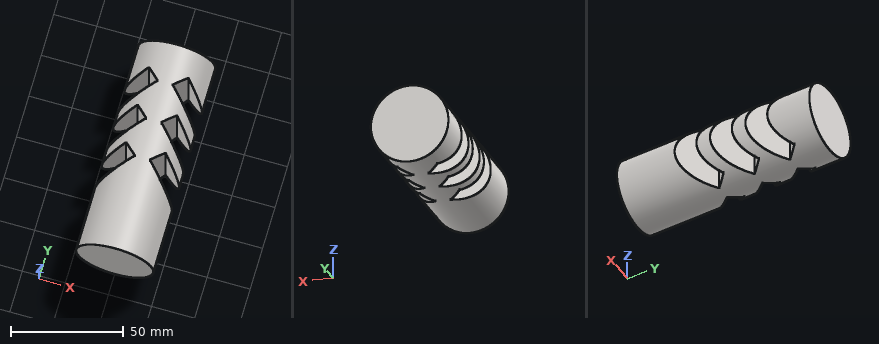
import cadquery as cq
import math

bar_length = 100.0
bar_radius = 18.0

slot_width = 8.0
rib_width = 5.0
slot_count = 3
slot_angle = math.radians(45)
inner_corner_x = 3.5
first_corner_depth = 18.7
slot_pitch = (slot_width + rib_width) / math.sin(slot_angle)
cut_length = 2 * bar_radius


def slot(corner_y, side):
    """Slot running outward and toward -Y; side is +1 for +X, -1 for -X."""
    along_x = math.sin(slot_angle)
    along_y = -math.cos(slot_angle)
    inner = (inner_corner_x, corner_y)
    upper = (inner[0] - slot_width * along_y, inner[1] + slot_width * along_x)
    corners = [
        inner,
        upper,
        (upper[0] + cut_length * along_x, upper[1] + cut_length * along_y),
        (inner[0] + cut_length * along_x, inner[1] + cut_length * along_y),
    ]
    outline = [(side * x, y) for x, y in corners]
    return cq.Workplane("XY").polyline(outline).close().extrude(bar_radius, both=True)


result = cq.Workplane("XZ").circle(bar_radius).extrude(-bar_length)

for index in range(slot_count):
    corner_y = bar_length - first_corner_depth - index * slot_pitch
    for side in (-1, 1):
        result = result.cut(slot(corner_y, side))